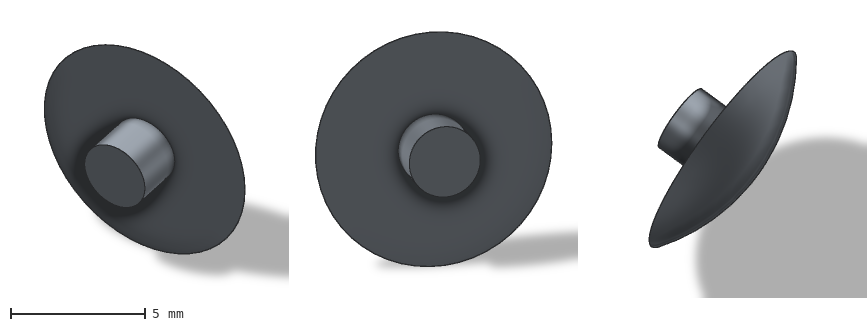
import cadquery as cq

cap_diameter = 9.0
dome_height = 1.5
stem_diameter = 2.7
stem_length = 2.0

cap_radius = cap_diameter / 2
sphere_radius = (cap_radius**2 + dome_height**2) / (2 * dome_height)


def domed_cap():
    """Spherical cap: flat face at Y = 0, dome rising toward +Y."""
    half_chord = cap_radius / 2
    arc_mid_height = (sphere_radius**2 - half_chord**2) ** 0.5 - (sphere_radius - dome_height)
    half_profile = (
        cq.Workplane("XY")
        .lineTo(cap_radius, 0)
        .threePointArc((half_chord, arc_mid_height), (0, dome_height))
        .close()
    )
    return half_profile.revolve(360, (0, 0, 0), (0, 1, 0))


def stem():
    """Round pin standing on the flat face, pointing toward -Y."""
    return cq.Workplane("XZ").circle(stem_diameter / 2).extrude(stem_length)


result = domed_cap().union(stem())